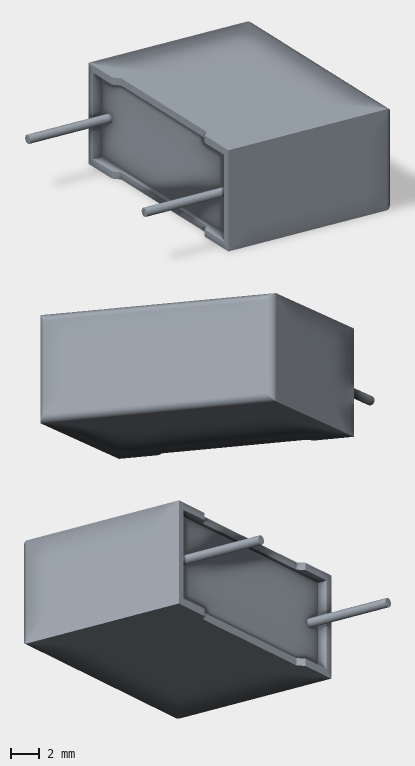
import cadquery as cq


case_width = 18.0
case_length = 13.6
case_height = 7.7
wall = 0.55
closed_end_radius = 0.5

notch_depth = 0.45
notch_floor_width = 11.02
notch_mouth_width = notch_floor_width + 2 * notch_depth

fill_recess = 0.76
cavity_width = case_width - 2 * wall
cavity_height = case_height - 2 * wall
cavity_end = case_length - wall

lead_pitch = 15.0
lead_diameter = 0.67
overall_length = 19.6
lead_tip = case_length - overall_length


def block(width, height, y_start, y_end):
    """Box centred on X and Z, running from y_start to y_end."""
    return cq.Workplane("XY").box(width, y_end - y_start, height).translate((0, (y_start + y_end) / 2, 0))


def make_case():
    """Five-sided case with a rounded closed end and a notched rim."""
    shell = block(case_width, case_height, 0, case_length)
    shell = shell.faces(">Y").edges().fillet(closed_end_radius)
    shell = shell.cut(block(cavity_width, cavity_height, 0, cavity_end))
    notch = (
        cq.Workplane("XY")
        .polyline([
            (-notch_mouth_width / 2, 0),
            (-notch_floor_width / 2, notch_depth),
            (notch_floor_width / 2, notch_depth),
            (notch_mouth_width / 2, 0),
        ])
        .close()
        .extrude(case_height / 2, both=True)
    )
    return shell.cut(notch)


def make_fill():
    """Potting block that fills the cavity up to a little below the rim."""
    return block(cavity_width, cavity_height, fill_recess, cavity_end)


def make_lead(x):
    """Round lead from the face of the fill out to its tip."""
    return (
        cq.Workplane("XZ", origin=(x, fill_recess, 0))
        .circle(lead_diameter / 2)
        .extrude(fill_recess - lead_tip)
    )


case = make_case()
fill = make_fill()
leads = [make_lead(side * lead_pitch / 2) for side in (-1, 1)]

result = cq.Compound.makeCompound([case.val(), fill.val(), *[lead.val() for lead in leads]])